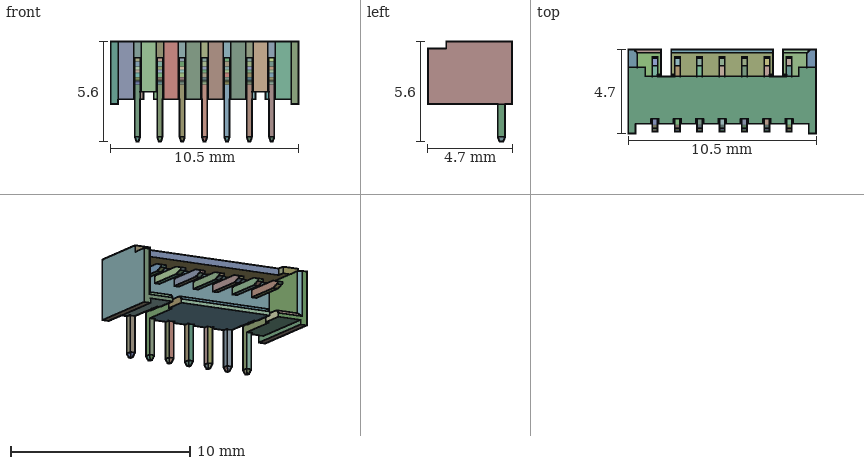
import cadquery as cq


length = 10.5
depth = 4.7
height = 3.5
end_wall = 0.51
wing_thickness = 0.42
wing_overhang = 0.55
floor_bottom = 0.26
floor_top = 0.68
cavity_top = 3.11
cavity_front = 1.36
roof_back = 3.2
roof_corner_back = 3.7
roof_corner_width = 0.97
lead_in = 0.2

slot_width = 0.56
slot_front = 3.3

pin_count = 7
pitch = 1.25
pin_thickness = 0.3
pin_width = 0.43
pin_front = 0.39
pin_back = pin_front + pin_width
pin_top = 2.58
pin_length_below = 2.1
tip_height = 0.26
tip_thickness = 0.13
tip_width = 0.21
groove_width = 0.42
bend_radius = 0.2
shoulder_front = 0.29
bump_front = 0.09
upper_step_top = 2.1
upper_step_bottom = 1.75
lower_step_top = 1.5
lower_step_bottom = 1.1
taper_start = 3.78
nose_start = 4.21
nose_end = 4.3
nose_half_height = 0.07

pin_xs = [(i - (pin_count - 1) / 2) * pitch for i in range(pin_count)]
slot_offset = pin_xs[-1] - pitch / 2
slot_xs = [-slot_offset, slot_offset]


def block(width, y_range, z_range, x=0.0):
    """Box centred on x with the given Y and Z ranges."""
    y0, y1 = y_range
    z0, z1 = z_range
    return cq.Workplane("XY").box(width, y1 - y0, z1 - z0, centered=(True, False, False)).translate((x, y0, z0))


def mouth_chamfer():
    """Flared cutter for the 45 degree lead-in on the floor and end walls."""
    width = length - 2 * end_wall
    tall = height - floor_top
    return (
        cq.Workplane("XZ", origin=(0, depth - lead_in, (floor_top + height) / 2))
        .rect(width, tall)
        .workplane(offset=-lead_in)
        .rect(width + 2 * lead_in, tall + 2 * lead_in)
        .loft(combine=True)
    )


def make_housing():
    body = block(length, (wing_overhang, depth), (floor_bottom, height))
    wing_x = (length - wing_thickness) / 2
    for x in (-wing_x, wing_x):
        body = body.union(block(wing_thickness, (0, depth), (0, height), x))

    body = body.cut(block(length - 2 * end_wall, (cavity_front, depth), (floor_top, cavity_top)))
    body = body.cut(block(length, (roof_corner_back, depth), (cavity_top, height)))
    body = body.cut(block(length - 2 * roof_corner_width, (roof_back, depth), (cavity_top, height)))
    body = body.cut(mouth_chamfer())

    for x in pin_xs:
        body = body.cut(block(groove_width, (wing_overhang, pin_back), (floor_bottom, height), x))

    for x in slot_xs:
        body = body.cut(block(slot_width, (0, depth), (0, floor_top), x))
        body = body.cut(block(pitch - pin_thickness, (0, slot_front), (0, floor_top), x))
    return body


def step(profile, start, end):
    """Continue a vertical profile edge with a tangent S-curve between two points."""
    middle = ((start[0] + end[0]) / 2, (start[1] + end[1]) / 2)
    return profile.tangentArcPoint(middle, relative=False).tangentArcPoint(end, relative=False)


def make_pin():
    pin_bottom = pin_top - pin_width
    axis_z = (pin_top + pin_bottom) / 2
    leg_bottom = tip_height - pin_length_below

    profile = (
        cq.Workplane("YZ", origin=(-pin_thickness / 2, 0, 0))
        .moveTo(taper_start, pin_top)
        .lineTo(shoulder_front + bend_radius, pin_top)
        .tangentArcPoint((shoulder_front, pin_top - bend_radius), relative=False)
        .lineTo(shoulder_front, upper_step_top)
    )
    profile = step(profile, (shoulder_front, upper_step_top), (bump_front, upper_step_bottom))
    profile = profile.lineTo(bump_front, lower_step_top)
    profile = step(profile, (bump_front, lower_step_top), (pin_front, lower_step_bottom))
    blade = (
        profile.lineTo(pin_front, leg_bottom)
        .lineTo(pin_back, leg_bottom)
        .lineTo(pin_back, pin_bottom)
        .lineTo(taper_start, pin_bottom)
        .lineTo(nose_start, axis_z - nose_half_height)
        .threePointArc((nose_end, axis_z), (nose_start, axis_z + nose_half_height))
        .close()
        .extrude(pin_thickness)
    )
    tip = (
        cq.Workplane("XY", origin=(0, (pin_front + pin_back) / 2, leg_bottom))
        .rect(pin_thickness, pin_width)
        .workplane(offset=-tip_height)
        .rect(tip_thickness, tip_width)
        .loft(combine=True)
    )
    return blade.union(tip)


result = make_housing()
pin = make_pin()
for x in pin_xs:
    result = result.union(pin.translate((x, 0, 0)))